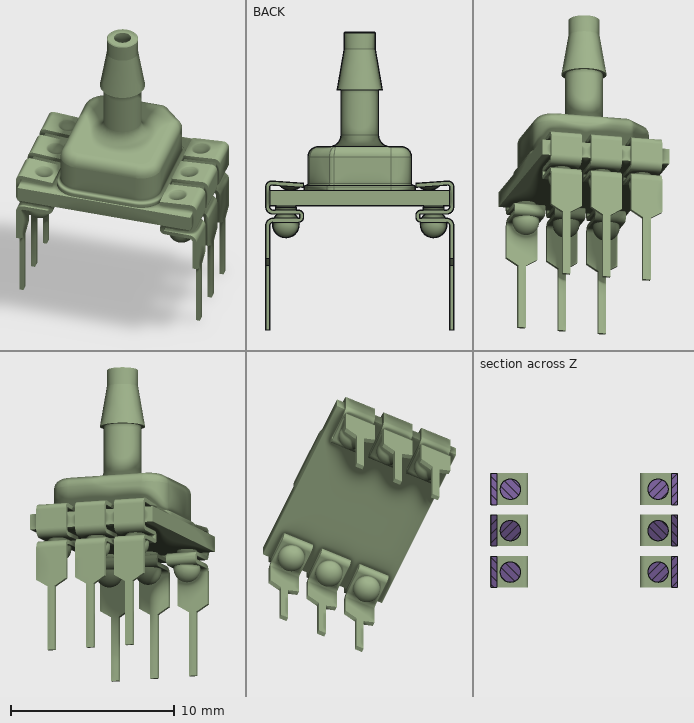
import cadquery as cq
import math

BOARD_X = 11.01
BOARD_Y = 8.0
BOARD_BOTTOM = 7.6
BOARD_TOP = 8.55

CAP_X = 6.35
CAP_Y = 7.36
CAP_TOP = 11.23
CAP_CORNER_RADIUS = 1.25
CAP_TOP_RADIUS = 0.64
CUT_CORNER_LEG = 1.44
CUT_CORNER_RADIUS = 0.36
FLANGE_OFFSET = 0.24
FLANGE_TOP = 8.86
FLANGE_EDGE_RADIUS = 0.11
FLANGE_ROOT_RADIUS = 0.11

PORT_TOP = 18.23
TIP_DIAMETER = 1.91
SHAFT_DIAMETER = 2.32
BARB_DIAMETER = 2.77
BARB_BOTTOM = 14.7
BARB_TOP = 17.2
PORT_BASE_RADIUS = 0.71
TIP_CHAMFER = 0.05
BORE_DIAMETER = 1.04

LEAD_PITCH = 2.53
LEADS_PER_SIDE = 3
LEAD_THICKNESS = 0.25
LEAD_WIDTH = 1.93
PIN_WIDTH = 0.47
SHOULDER_TOP = 4.4
SHOULDER_BOTTOM = 3.95
LEAD_INNER_X = -BOARD_X / 2
LEAD_OUTER_X = LEAD_INNER_X - LEAD_THICKNESS
ARM_END_X = -3.43
TOP_ARM_CORNER = 9.15
TOP_ARM_SLOPE = math.radians(4)
UPPER_FOLD_TOP = 7.35
LOWER_FOLD_TOP = 6.85
TOP_BEND_RADIUS = 0.11
FOLD_BEND_RADIUS = 0.22
FOLD_END_RADIUS = 0.33

DIMPLE_X = -4.23
BULGE_RADIUS = 0.9
DIMPLE_WALL = 0.2
BOWL_RIM_RADIUS = 0.11

BALL_X = -4.52
BALL_Z = 6.47
BALL_RADIUS = 0.82
PAD_DIAMETER = 1.28
PAD_CHAMFER_HEIGHT = 0.11
PAD_CHAMFER_WIDTH = 0.04


def cap_block(offset, bottom, top):
    """Cap outline grown by an offset and raised from bottom to top."""
    size_x = CAP_X + 2 * offset
    size_y = CAP_Y + 2 * offset
    leg = CUT_CORNER_LEG + offset * (2 - math.sqrt(2))
    block = (
        cq.Workplane("XY")
        .workplane(offset=bottom)
        .rect(size_x, size_y)
        .extrude(top - bottom)
    )
    block = block.edges("|Z and (<X or <Y)").fillet(CAP_CORNER_RADIUS + offset)
    middle = (bottom + top) / 2
    sharp_corner = cq.NearestToPointSelector((size_x / 2, size_y / 2, middle))
    block = block.edges(sharp_corner).chamfer(leg)
    for x, y in ((size_x / 2, size_y / 2 - leg), (size_x / 2 - leg, size_y / 2)):
        corner = cq.NearestToPointSelector((x, y, middle))
        block = block.edges("|Z").edges(corner).fillet(CUT_CORNER_RADIUS + offset)
    return block


def make_port():
    """Hose barb turned about Z, flaring out onto the cap."""
    tip = TIP_DIAMETER / 2
    shaft = SHAFT_DIAMETER / 2
    flare_center = (shaft + PORT_BASE_RADIUS, CAP_TOP + PORT_BASE_RADIUS)
    flare_reach = PORT_BASE_RADIUS * math.sqrt(0.5)
    return (
        cq.Workplane("XZ")
        .moveTo(0, BOARD_TOP)
        .lineTo(shaft, BOARD_TOP)
        .lineTo(shaft, CAP_TOP)
        .lineTo(shaft + PORT_BASE_RADIUS, CAP_TOP)
        .threePointArc(
            (flare_center[0] - flare_reach, flare_center[1] - flare_reach),
            (shaft, CAP_TOP + PORT_BASE_RADIUS),
        )
        .lineTo(shaft, BARB_BOTTOM)
        .lineTo(BARB_DIAMETER / 2, BARB_BOTTOM)
        .lineTo(tip, BARB_TOP)
        .lineTo(tip, PORT_TOP - TIP_CHAMFER)
        .lineTo(tip - TIP_CHAMFER, PORT_TOP)
        .lineTo(0, PORT_TOP)
        .close()
        .revolve(360, (0, 0, 0), (0, 1, 0))
    )


def make_housing():
    """Board, flange, cap and bored port as one solid."""
    board = (
        cq.Workplane("XY")
        .workplane(offset=BOARD_BOTTOM)
        .rect(BOARD_X, BOARD_Y)
        .extrude(BOARD_TOP - BOARD_BOTTOM)
    )
    flange = cap_block(FLANGE_OFFSET, BOARD_TOP, FLANGE_TOP)
    flange = flange.faces(">Z").edges().fillet(FLANGE_EDGE_RADIUS)
    cap = cap_block(0, BOARD_TOP, CAP_TOP).faces(">Z").edges().fillet(CAP_TOP_RADIUS)
    shell = flange.union(cap)
    margin = FLANGE_OFFSET / 4
    reach_x = CAP_X / 2 + margin
    reach_y = CAP_Y / 2 + margin
    root = cq.selectors.BoxSelector(
        (-reach_x, -reach_y, FLANGE_TOP - margin),
        (reach_x, reach_y, FLANGE_TOP + margin),
    )
    shell = shell.edges(root).fillet(FLANGE_ROOT_RADIUS)
    bore = (
        cq.Workplane("XY")
        .workplane(offset=BOARD_TOP)
        .circle(BORE_DIAMETER / 2)
        .extrude(PORT_TOP - BOARD_TOP)
    )
    return board.union(shell).union(make_port()).cut(bore)


def top_arm_z(x):
    """Height of the top face of the sloping top arm."""
    return TOP_ARM_CORNER - (x - LEAD_OUTER_X) * math.tan(TOP_ARM_SLOPE)


def make_strip():
    """Bent strip: top arm, board edge, folded-back arms and the straight pin."""
    drop = LEAD_THICKNESS / math.cos(TOP_ARM_SLOPE)
    upper_fold_bottom = UPPER_FOLD_TOP - LEAD_THICKNESS
    lower_fold_bottom = LOWER_FOLD_TOP - LEAD_THICKNESS
    fold_inner_x = ARM_END_X - LEAD_THICKNESS
    arm_end_z = top_arm_z(ARM_END_X)
    top_outer = (LEAD_OUTER_X, TOP_ARM_CORNER)
    top_inner = (LEAD_INNER_X, top_arm_z(LEAD_INNER_X) - drop)
    upper_inner = (LEAD_INNER_X, UPPER_FOLD_TOP)
    upper_outer = (LEAD_OUTER_X, upper_fold_bottom)
    end_upper = (ARM_END_X, UPPER_FOLD_TOP)
    end_lower = (ARM_END_X, lower_fold_bottom)
    lower_inner = (LEAD_INNER_X, lower_fold_bottom)
    lower_outer = (LEAD_OUTER_X, LOWER_FOLD_TOP)
    outline = [
        top_outer,
        (ARM_END_X, arm_end_z),
        (
            ARM_END_X - LEAD_THICKNESS * math.sin(TOP_ARM_SLOPE),
            arm_end_z - LEAD_THICKNESS * math.cos(TOP_ARM_SLOPE),
        ),
        top_inner,
        upper_inner,
        end_upper,
        end_lower,
        lower_inner,
        (LEAD_INNER_X, 0),
        (LEAD_OUTER_X, 0),
        lower_outer,
        (fold_inner_x, LOWER_FOLD_TOP),
        (fold_inner_x, upper_fold_bottom),
        upper_outer,
    ]
    strip = cq.Workplane("XZ").polyline(outline).close().extrude(LEAD_WIDTH / 2, both=True)
    bends = [
        (top_inner, TOP_BEND_RADIUS),
        (top_outer, TOP_BEND_RADIUS + LEAD_THICKNESS),
        (upper_inner, FOLD_BEND_RADIUS),
        (upper_outer, FOLD_BEND_RADIUS + LEAD_THICKNESS),
        (lower_inner, FOLD_BEND_RADIUS),
        (lower_outer, FOLD_BEND_RADIUS + LEAD_THICKNESS),
        (end_upper, FOLD_END_RADIUS),
        (end_lower, FOLD_END_RADIUS),
    ]
    for (x, z), radius in bends:
        corner = cq.NearestToPointSelector((x, 0, z))
        strip = strip.edges("|Y").edges(corner).fillet(radius)
    return strip


def make_blade():
    """Width of the strip along its height, stepping down to the narrow pin."""
    half = LEAD_WIDTH / 2
    half_pin = PIN_WIDTH / 2
    return (
        cq.Workplane("YZ")
        .polyline([
            (-half_pin, 0),
            (half_pin, 0),
            (half_pin, SHOULDER_BOTTOM),
            (half, SHOULDER_TOP),
            (half, TOP_ARM_CORNER),
            (-half, TOP_ARM_CORNER),
            (-half, SHOULDER_TOP),
            (-half_pin, SHOULDER_BOTTOM),
        ])
        .close()
        .extrude(LEAD_OUTER_X)
    )


def add_dimple(lead):
    """Round bulge under the top arm, just touching the board, with a bowl above it."""
    center = (DIMPLE_X, 0, BOARD_TOP + BULGE_RADIUS)
    bulge_top = top_arm_z(DIMPLE_X) - LEAD_THICKNESS / 2
    keep = (
        cq.Workplane("XY")
        .workplane(offset=BOARD_TOP)
        .center(DIMPLE_X, 0)
        .circle(BULGE_RADIUS)
        .extrude(bulge_top - BOARD_TOP)
    )
    bulge = cq.Workplane("XY").sphere(BULGE_RADIUS).translate(center)
    bowl = cq.Workplane("XY").sphere(BULGE_RADIUS - DIMPLE_WALL).translate(center)
    lead = lead.union(bulge.intersect(keep)).cut(bowl)
    rim = cq.NearestToPointSelector((DIMPLE_X, 0, top_arm_z(DIMPLE_X)))
    return lead.edges("%CIRCLE or %BSPLINE").edges(rim).fillet(BOWL_RIM_RADIUS)


def add_ball(lead):
    """Ball in the folded arms and the pad between the upper fold and the board."""
    ball = cq.Workplane("XY").sphere(BALL_RADIUS).translate((BALL_X, 0, BALL_Z))
    pad = (
        cq.Workplane("XY")
        .workplane(offset=UPPER_FOLD_TOP)
        .center(BALL_X, 0)
        .circle(PAD_DIAMETER / 2)
        .extrude(BOARD_BOTTOM - UPPER_FOLD_TOP)
        .faces(">Z")
        .chamfer(PAD_CHAMFER_HEIGHT, PAD_CHAMFER_WIDTH)
    )
    return lead.union(ball).union(pad)


def make_lead():
    """Lead for the middle of the -X side of the board."""
    lead = make_strip().intersect(make_blade())
    return add_ball(add_dimple(lead))


housing = make_housing()
lead = make_lead()
leads = []
for side_angle in (0, 180):
    for row in range(LEADS_PER_SIDE):
        y = (row - (LEADS_PER_SIDE - 1) / 2) * LEAD_PITCH
        placed = lead.rotate((0, 0, 0), (0, 0, 1), side_angle).translate((0, y, 0))
        leads.append(placed.solids().val())

result = cq.Compound.makeCompound([housing.solids().val(), *leads])